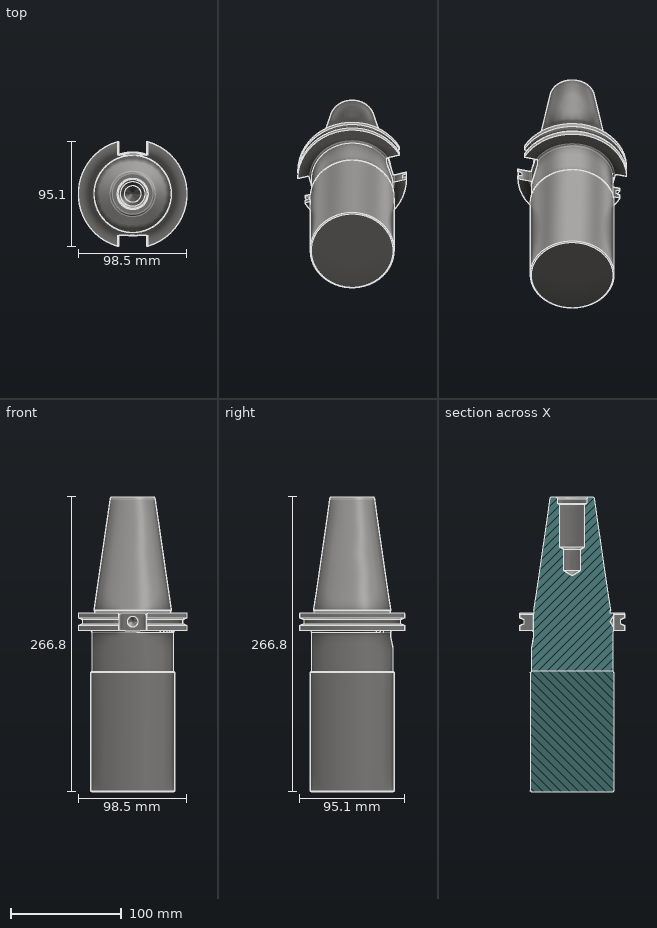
import cadquery as cq
import math

total_height = 266.8
gauge_z = 164.3
flange_gap = 2.5
flange_top_z = gauge_z - flange_gap
flange_thickness = 16.0
flange_bottom_z = flange_top_z - flange_thickness
sleeve_height = 109.0

taper_rate = 7 / 24
gauge_diameter = 70.2
taper_length = total_height - gauge_z
taper_top_diameter = gauge_diameter - taper_rate * taper_length
taper_top_fillet = 2.1
relief_chamfer = 0.8
relief_diameter = 69.0

flange_diameter = 98.5
groove_depth = 3.7
groove_floor_width = 3.7
groove_mouth_width = 7.0
groove_z = flange_top_z - flange_thickness / 2

shank_diameter = 74.0
shank_fillet = 1.5

slot_width = 25.0
slot_corner_radius = 1.0
slot_edge_chamfer = 1.3
slot_rim_chamfer = 0.5
front_slot_floor = 37.3
back_slot_floor = 35.0
back_slot_bottom_z = 140.0
back_slot_ramp_end_z = 130.5

spot_diameter = 9.5
spot_point_angle = 118.0

mouth_diameter = 28.3
pilot_diameter = 26.1
pilot_depth = 6.0
thread_diameter = 22.1
thread_depth = 45.3
coolant_diameter = 15.0
coolant_depth = 66.7
bore_point_angle = 118.0
mouth_half_angle = 30.0

sleeve_diameter = 76.0
sleeve_bottom_chamfer = 1.0
sleeve_top_chamfer = (sleeve_diameter - shank_diameter) / 2


def cone_height(large_diameter, small_diameter, full_angle):
    """Axial length of a cone between two diameters."""
    return (large_diameter - small_diameter) / 2 / math.tan(math.radians(full_angle / 2))


def turned(outline):
    """Solid of revolution about Z from (radius, z) points."""
    return cq.Workplane("XZ").polyline(outline).close().revolve(360, (0, 0), (0, 1))


def holder_blank():
    taper = turned([
        (0, flange_bottom_z),
        (relief_diameter / 2, flange_bottom_z),
        (relief_diameter / 2, gauge_z - relief_chamfer),
        (gauge_diameter / 2, gauge_z),
        (taper_top_diameter / 2, total_height),
        (0, total_height),
    ]).faces(">Z").edges().fillet(taper_top_fillet)

    rim = flange_diameter / 2
    groove_floor = rim - groove_depth
    flange = turned([
        (0, flange_bottom_z),
        (rim, flange_bottom_z),
        (rim, groove_z - groove_mouth_width / 2),
        (groove_floor, groove_z - groove_floor_width / 2),
        (groove_floor, groove_z + groove_floor_width / 2),
        (rim, groove_z + groove_mouth_width / 2),
        (rim, flange_top_z),
        (0, flange_top_z),
    ])

    shank_radius = shank_diameter / 2
    shank = (
        cq.Workplane("XZ")
        .moveTo(0, sleeve_height)
        .lineTo(shank_radius, sleeve_height)
        .lineTo(shank_radius, flange_bottom_z - shank_fillet)
        .radiusArc((shank_radius + shank_fillet, flange_bottom_z), shank_fillet)
        .lineTo(0, flange_bottom_z)
        .close()
        .revolve(360, (0, 0), (0, 1))
    )
    return taper.union(flange).union(shank)


def drive_slot(floor, bottom_z):
    """Cutter for a slot open toward +Y, with rounded floor corners and chamfered outer edges."""
    length = flange_diameter
    depth_z = flange_top_z - bottom_z
    slot = (
        cq.Workplane("XY", origin=(0, floor + length / 2, bottom_z))
        .box(slot_width, length, depth_z, centered=(True, True, False))
        .edges("|Z and <Y").fillet(slot_corner_radius)
    )
    half = slot_width / 2
    top_chamfers = (
        cq.Workplane("XZ", origin=(0, floor, 0))
        .polyline([
            (-half - slot_edge_chamfer, flange_top_z),
            (half + slot_edge_chamfer, flange_top_z),
            (half, flange_top_z - slot_edge_chamfer),
            (-half, flange_top_z - slot_edge_chamfer),
        ])
        .close()
        .extrude(-length)
    )
    corner_y = math.sqrt((flange_diameter / 2) ** 2 - half ** 2)
    rim_chamfers = (
        cq.Workplane("XY", origin=(0, 0, bottom_z))
        .polyline([
            (-half, corner_y - slot_rim_chamfer),
            (half, corner_y - slot_rim_chamfer),
            (half + 2 * slot_rim_chamfer, corner_y + slot_rim_chamfer),
            (-half - 2 * slot_rim_chamfer, corner_y + slot_rim_chamfer),
        ])
        .close()
        .extrude(depth_z)
    )
    return slot.union(top_chamfers).union(rim_chamfers)


def back_slot_ramp():
    """Sloped run-out of the back slot down the shank."""
    ramp_rise = shank_diameter / 2 - back_slot_floor
    return (
        cq.Workplane("YZ")
        .polyline([
            (back_slot_floor, back_slot_bottom_z),
            (back_slot_floor + ramp_rise, back_slot_ramp_end_z),
            (back_slot_floor + ramp_rise, back_slot_bottom_z),
        ])
        .close()
        .extrude(slot_width / 2, both=True)
    )


def drill_spot():
    """Conical drill point in the floor of the front slot."""
    point = cq.Solid.makeCone(
        spot_diameter / 2, 0, cone_height(spot_diameter, 0, spot_point_angle),
        pnt=cq.Vector(0, -front_slot_floor, groove_z), dir=cq.Vector(0, 1, 0),
    )
    return cq.Workplane(point)


def pull_stud_bore():
    mouth_z = total_height - cone_height(mouth_diameter, pilot_diameter, 2 * mouth_half_angle)
    pilot_z = total_height - pilot_depth
    thread_top_z = pilot_z - cone_height(pilot_diameter, thread_diameter, bore_point_angle)
    thread_z = total_height - thread_depth
    coolant_top_z = thread_z - cone_height(thread_diameter, coolant_diameter, bore_point_angle)
    coolant_z = total_height - coolant_depth
    tip_z = coolant_z - cone_height(coolant_diameter, 0, bore_point_angle)
    return turned([
        (0, tip_z),
        (coolant_diameter / 2, coolant_z),
        (coolant_diameter / 2, coolant_top_z),
        (thread_diameter / 2, thread_z),
        (thread_diameter / 2, thread_top_z),
        (pilot_diameter / 2, pilot_z),
        (pilot_diameter / 2, mouth_z),
        (mouth_diameter / 2, total_height),
        (0, total_height),
    ])


def make_holder():
    front_slot = drive_slot(front_slot_floor, flange_bottom_z - shank_fillet)
    front_slot = front_slot.rotate((0, 0, 0), (0, 0, 1), 180)
    return (
        holder_blank()
        .cut(front_slot)
        .cut(drive_slot(back_slot_floor, back_slot_bottom_z))
        .cut(back_slot_ramp())
        .cut(drill_spot())
        .cut(pull_stud_bore())
    )


def make_sleeve():
    return (
        cq.Workplane("XY")
        .circle(sleeve_diameter / 2)
        .extrude(sleeve_height)
        .faces("<Z").edges().chamfer(sleeve_bottom_chamfer)
        .faces(">Z").edges().chamfer(sleeve_top_chamfer)
    )


holder = make_holder()
sleeve = make_sleeve()

result = cq.Compound.makeCompound([holder.val(), sleeve.val()])